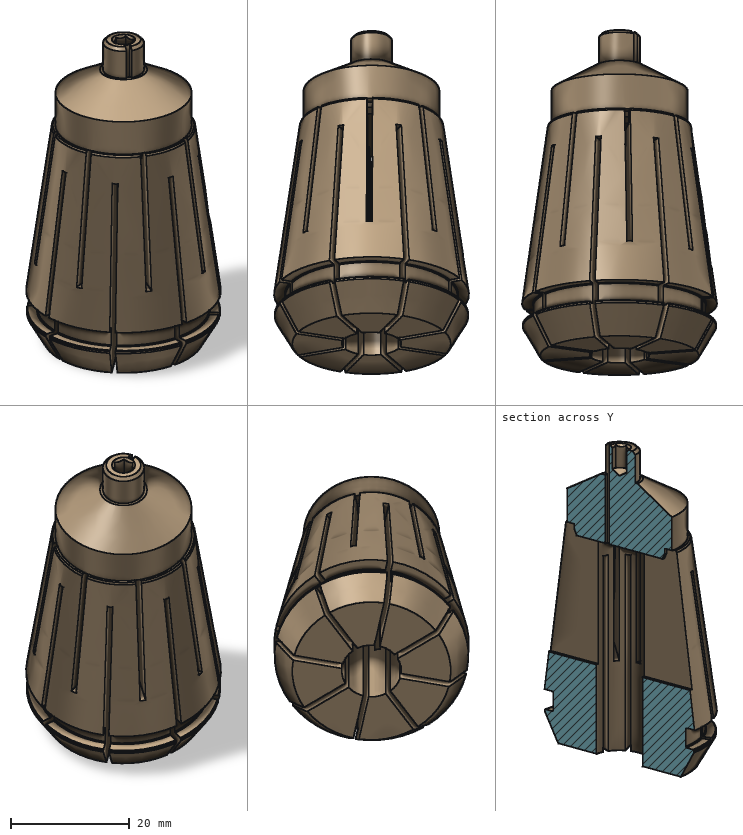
import cadquery as cq
import math

body_max_radius = 16.45
body_half_angle = 8
body_bottom_z = 9.0
body_cone_top_z = 39.7
body_top_z = 40.05
body_cone_height = body_cone_top_z - body_bottom_z
body_cone_top_radius = body_max_radius - body_cone_height * math.tan(math.radians(body_half_angle))
body_edge_chamfer = 0.2
bore_radius = 10.0 / 2

nose_half_angle = 30
rim_radius = 16.35
rim_bottom_z = 5.05
rim_top_z = 5.55
nose_chamfer = 0.15
nose_cone_drop = (rim_bottom_z - nose_chamfer) * math.tan(math.radians(nose_half_angle))
nose_cone_bottom_radius = rim_radius - nose_cone_drop
groove_radius = 14.5
groove_corner = 0.15

cap_radius = 23.0 / 2
cap_cone_bottom_z = 46.1
cap_top_z = 50.4
cap_top_radius = 4.0
plug_radius = 19.8 / 2
plug_cone_top_z = 39.1
plug_bottom_radius = 18.8 / 2
plug_bottom_z = 38.1

screw_radius = 3.5
screw_chamfer = 0.55
screw_top_z = 56
screw_hole_radius = 3.1
hex_across_flats = 3.0
hex_depth = 4.2
hex_mouth_radius = 1.95
hex_point_angle = 118
keyway_floor_x = 2.25
keyway_width = 0.95

slot_count = 8
slot_pitch = 360 / slot_count
slot_width = 0.95
slot_length = body_max_radius + 0.55
nose_slot_top_z = 35.05
top_slot_bottom_z = 16.0


def turned(*points):
    """Solid of revolution about Z from (radius, z) points."""
    return cq.Workplane("XZ").polyline(points).close().revolve(360, (0, 0), (0, 1))


def slots(bottom_z, top_z, first_angle):
    """Ring of radial slots running from the axis past the outer surface."""
    size = (slot_length, slot_width, top_z - bottom_z)
    blade = cq.Workplane("XY").box(*size, centered=(False, True, False))
    blade = blade.translate((0, 0, bottom_z))
    ring = cq.Workplane("XY")
    for index in range(slot_count):
        ring = ring.add(blade.rotate((0, 0, 0), (0, 0, 1), first_angle + index * slot_pitch))
    return ring.combine()


def collet():
    body = turned(
        (bore_radius, 0),
        (nose_cone_bottom_radius - nose_chamfer, 0),
        (nose_cone_bottom_radius, nose_chamfer),
        (rim_radius, rim_bottom_z),
        (rim_radius, rim_top_z - nose_chamfer),
        (rim_radius - nose_chamfer, rim_top_z),
        (groove_radius + groove_corner, rim_top_z),
        (groove_radius, rim_top_z + groove_corner),
        (groove_radius, body_bottom_z - groove_corner),
        (groove_radius + groove_corner, body_bottom_z),
        (body_max_radius, body_bottom_z),
        (body_cone_top_radius, body_cone_top_z),
        (body_cone_top_radius - body_edge_chamfer, body_top_z),
        (bore_radius, body_top_z),
    )
    body = body.cut(slots(0, nose_slot_top_z, slot_pitch / 2))
    return body.cut(slots(top_slot_bottom_z, body_top_z, 0))


def cap():
    return turned(
        (0, plug_bottom_z),
        (plug_bottom_radius, plug_bottom_z),
        (plug_radius, plug_cone_top_z),
        (plug_radius, body_top_z),
        (cap_radius, body_top_z),
        (cap_radius, cap_cone_bottom_z),
        (cap_top_radius, cap_top_z),
        (0, cap_top_z),
    )


def set_screw():
    height = screw_top_z - cap_top_z
    screw = cq.Workplane("XY").workplane(offset=cap_top_z).circle(screw_radius).extrude(height)
    return screw.faces(">Z").chamfer(screw_chamfer)


def hex_socket():
    """Socket with two flats facing X, a drilled point and a countersunk mouth."""
    corner_radius = hex_across_flats / 2 / math.cos(math.radians(30))
    floor_z = screw_top_z - hex_depth
    drill_radius = hex_across_flats / 2
    point_depth = drill_radius / math.tan(math.radians(hex_point_angle / 2))
    hexagon = cq.Workplane("XY").workplane(offset=floor_z).polygon(6, 2 * corner_radius).extrude(hex_depth)
    hexagon = hexagon.rotate((0, 0, 0), (0, 0, 1), 30)
    drill_point = turned((0, floor_z - point_depth), (drill_radius, floor_z), (0, floor_z))
    mouth = turned((0, screw_top_z - hex_mouth_radius), (hex_mouth_radius, screw_top_z), (0, screw_top_z))
    return hexagon.union(drill_point).union(mouth)


def keyway():
    """Slot along the +X side of the screw, held inside the screw hole where it passes through the cap."""

    def strip(outer_x, bottom_z):
        size = (outer_x - keyway_floor_x, keyway_width, screw_top_z - bottom_z)
        block = cq.Workplane("XY").box(*size, centered=(False, True, False))
        return block.translate((keyway_floor_x, 0, bottom_z))

    return strip(screw_hole_radius, plug_bottom_z).union(strip(screw_radius, cap_top_z))


result = collet().union(cap()).union(set_screw()).cut(hex_socket()).cut(keyway())